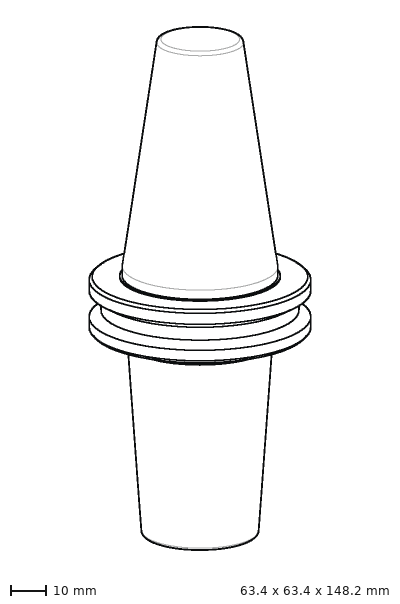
import cadquery as cq
import math

total_length = 148.2

gauge_radius = 22.2
gauge_z = 80.0
taper_ratio = 7 / 24
shank_end_radius = gauge_radius - (total_length - gauge_z) * taper_ratio / 2
shank_end_round = 1.2

relief_radius = 23.0
relief_height = 0.3

flange_radius = 31.7
flange_top = 77.0
flange_bottom = 61.0
flange_chamfer = 0.9
groove_center_z = 68.86
groove_floor_radius = 28.3
groove_floor_half_width = 2.0
groove_flank_angle = 30
groove_mouth_half_width = (
    groove_floor_half_width
    + (flange_radius - groove_floor_radius) * math.tan(math.radians(groove_flank_angle))
)

neck_radius = 21.2
neck_bottom = 57.1
neck_fillet = 1.8
nose_top_chamfer = 0.5
nose_end_radius = 16.8
nose_end_round = 1.0


def cone(bottom_radius, bottom_z, top_radius, top_z):
    """Truncated cone about the Z axis."""
    return (
        cq.Workplane("XZ")
        .moveTo(0, bottom_z)
        .lineTo(bottom_radius, bottom_z)
        .lineTo(top_radius, top_z)
        .lineTo(0, top_z)
        .close()
        .revolve(360, (0, 0, 0), (0, 1, 0))
    )


def cylinder(radius, bottom_z, top_z):
    return cq.Workplane("XY").workplane(offset=bottom_z).circle(radius).extrude(top_z - bottom_z)


def make_shank():
    taper = cone(gauge_radius, gauge_z, shank_end_radius, total_length)
    taper = taper.faces(">Z").edges().fillet(shank_end_round)
    collar = cylinder(gauge_radius, flange_top, gauge_z)
    relief = cylinder(relief_radius, flange_top, flange_top + relief_height)
    return taper.union(collar).union(relief)


def make_flange():
    disc = cylinder(flange_radius, flange_bottom, flange_top)
    disc = disc.faces("<Z or >Z").edges().chamfer(flange_chamfer)
    groove = (
        cq.Workplane("XZ")
        .moveTo(groove_floor_radius, groove_center_z - groove_floor_half_width)
        .lineTo(flange_radius, groove_center_z - groove_mouth_half_width)
        .lineTo(flange_radius, groove_center_z + groove_mouth_half_width)
        .lineTo(groove_floor_radius, groove_center_z + groove_floor_half_width)
        .close()
        .revolve(360, (0, 0, 0), (0, 1, 0))
    )
    return disc.cut(groove)


def make_neck():
    """Cylinder that flares into the underside of the flange with a quarter-round fillet."""
    fillet_middle = neck_fillet * (1 - math.sqrt(0.5))
    return (
        cq.Workplane("XZ")
        .moveTo(0, neck_bottom)
        .lineTo(neck_radius - nose_top_chamfer, neck_bottom)
        .lineTo(neck_radius, neck_bottom + nose_top_chamfer)
        .lineTo(neck_radius, flange_bottom - neck_fillet)
        .threePointArc(
            (neck_radius + fillet_middle, flange_bottom - fillet_middle),
            (neck_radius + neck_fillet, flange_bottom),
        )
        .lineTo(0, flange_bottom)
        .close()
        .revolve(360, (0, 0, 0), (0, 1, 0))
    )


def make_nose():
    nose = cone(nose_end_radius, 0, neck_radius - nose_top_chamfer, neck_bottom)
    return nose.faces("<Z").edges().fillet(nose_end_round)


result = make_shank().union(make_flange()).union(make_neck()).union(make_nose())